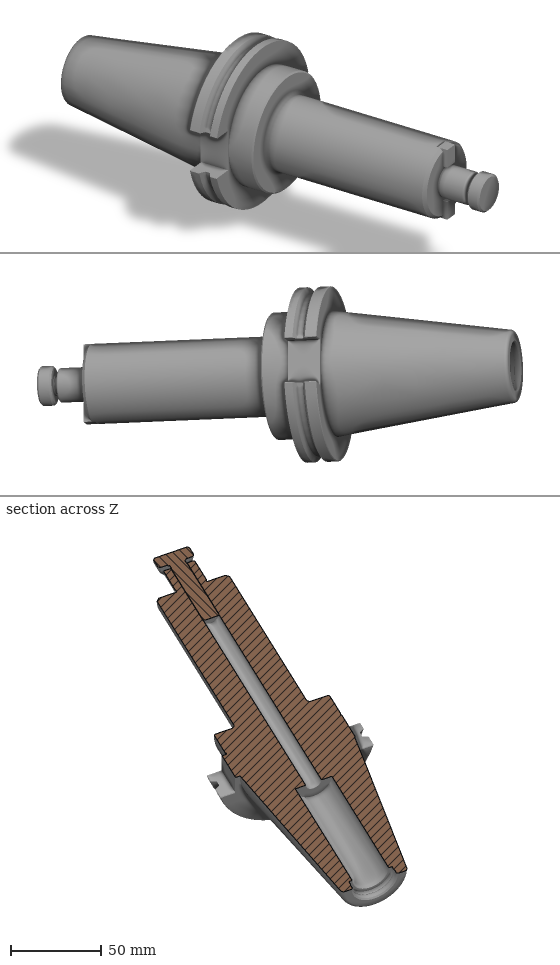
import cadquery as cq
import math

overall_length = 269.5

taper_length = 101.6
gauge_diameter = 69.8
taper_ratio = 7 / 24
tail_fillet = 2.2

flange_start = 102.5
flange_end = 120.5
flange_diameter = 97.0
flange_edge = 0.4
relief_diameter = gauge_diameter
groove_center = 112.5
groove_depth = 3.2
groove_floor_width = 3.2
groove_flank_angle = 30.0
slot_width = 24.8
shallow_slot_floor = 37.7
deep_slot_floor = 35.3

collar_start = 121.0
collar_end = 136.7
collar_diameter = 70.6
collar_edge = 0.8
barrel_diameter = 44.5
barrel_fillet = 2.2
barrel_end = 241.5
barrel_edge = 2.0
pilot_diameter = 19.1
pilot_relief_diameter = 18.5
pilot_relief_width = 1.3
pilot_end = 258.8
pilot_edge = 1.0

mouth_diameter = 28.3
counterbore_diameter = 26.7
counterbore_depth = 3.5
recess_diameter = 26.2
recess_depth = 6.0
bore_diameter = 22.0
bore_depth = 81.0
screw_hole_diameter = 9.5

key_width = 7.8
seat_start = 237.3
key_clearance = 0.8
key_start = seat_start + key_clearance
key_end = 244.5
key_top = 21.8
key_bottom = 10.8

head_diameter = 22.0
head_start = 261.5
head_edge = 1.0
neck_diameter = 11.3
neck_start = 260.7
shank_start = 215.7
shank_edge = 0.5

tail_diameter = gauge_diameter - taper_ratio * taper_length


def revolved(profile_points):
    """Revolve an (X, radius) outline about the X axis."""
    return cq.Workplane("XY").polyline(profile_points).close().revolve(360, (0, 0, 0), (1, 0, 0))


def cylinder(start, end, diameter):
    """A cylinder along X."""
    return cq.Workplane("YZ", origin=(start, 0, 0)).circle(diameter / 2).extrude(end - start)


def block(start, end, y_range, z_range):
    """A box given by its limits on the three axes."""
    size = (end - start, y_range[1] - y_range[0], z_range[1] - z_range[0])
    return cq.Workplane("XY").box(*size, centered=False).translate((start, y_range[0], z_range[0]))


def make_taper():
    taper = revolved([
        (0, 0),
        (0, tail_diameter / 2),
        (taper_length, gauge_diameter / 2),
        (taper_length, 0),
    ])
    return taper.faces("<X").edges().fillet(tail_fillet)


def make_flange():
    radius = flange_diameter / 2
    floor_half = groove_floor_width / 2
    mouth_half = floor_half + groove_depth * math.tan(math.radians(groove_flank_angle))
    groove = revolved([
        (groove_center - mouth_half, radius),
        (groove_center - floor_half, radius - groove_depth),
        (groove_center + floor_half, radius - groove_depth),
        (groove_center + mouth_half, radius),
    ])
    slot_z = (-slot_width / 2, slot_width / 2)
    shallow_slot = block(flange_start, flange_end, (shallow_slot_floor, flange_diameter), slot_z)
    deep_slot = block(flange_start, flange_end, (-flange_diameter, -deep_slot_floor), slot_z)
    flange = cylinder(flange_start, flange_end, flange_diameter).cut(shallow_slot).cut(deep_slot)
    front_edges = flange.faces("<X").edges("%CIRCLE or |Y")
    corner_distance = shallow_slot_floor + flange_edge
    corner_edges = flange.edges("|X").filter(lambda edge: abs(edge.Center().y) > corner_distance)
    flange = front_edges.add(corner_edges).chamfer(flange_edge)
    return flange.cut(groove)


def make_barrel():
    barrel_radius = barrel_diameter / 2
    fillet_end = collar_end + barrel_fillet
    arc_offset = barrel_fillet * (1 - math.sqrt(0.5))
    fillet_ring = (
        cq.Workplane("XY")
        .moveTo(collar_end, 0)
        .lineTo(collar_end, barrel_radius + barrel_fillet)
        .threePointArc((collar_end + arc_offset, barrel_radius + arc_offset), (fillet_end, barrel_radius))
        .lineTo(fillet_end, 0)
        .close()
        .revolve(360, (0, 0, 0), (1, 0, 0))
    )
    barrel = cylinder(collar_end, barrel_end, barrel_diameter).faces(">X").edges().chamfer(barrel_edge)
    return barrel.union(fillet_ring)


def make_pilot():
    relief_end = barrel_end + pilot_relief_width
    relief = cylinder(barrel_end, relief_end, pilot_relief_diameter)
    pilot = cylinder(relief_end, pilot_end, pilot_diameter).faces(">X").edges().fillet(pilot_edge)
    return relief.union(pilot)


def make_bore():
    mouth_edge = (mouth_diameter - counterbore_diameter) / 2
    return revolved([
        (0, 0),
        (0, mouth_diameter / 2),
        (mouth_edge, counterbore_diameter / 2),
        (counterbore_depth, counterbore_diameter / 2),
        (counterbore_depth, recess_diameter / 2),
        (recess_depth, recess_diameter / 2),
        (recess_depth, bore_diameter / 2),
        (bore_depth, bore_diameter / 2),
        (bore_depth, 0),
    ])


def make_key(side):
    """Drive key on the +Z side (side = 1) or the -Z side (side = -1)."""
    key = block(key_start, key_end, (-key_width / 2, key_width / 2), (key_bottom, key_top))
    return key if side > 0 else key.mirror("XY")


def make_key_seat(side):
    """Notch for a key, open at the outside of the barrel."""
    seat = block(seat_start, barrel_end, (-key_width / 2, key_width / 2), (key_bottom, barrel_diameter))
    return seat if side > 0 else seat.mirror("XY")


def make_holder():
    collar = cylinder(collar_start, collar_end, collar_diameter).faces(">X").edges().chamfer(collar_edge)
    relief = cylinder(taper_length, collar_start, relief_diameter)
    holder = make_taper().union(relief).union(make_flange()).union(collar)
    holder = holder.union(make_barrel()).union(make_pilot())
    holder = holder.cut(make_bore()).cut(cylinder(bore_depth, pilot_end, screw_hole_diameter))
    for side in (1, -1):
        holder = holder.cut(make_key_seat(side))
    return holder


def make_screw():
    shank = cylinder(shank_start, neck_start, screw_hole_diameter).faces("<X").edges().chamfer(shank_edge)
    neck = cylinder(neck_start, head_start, neck_diameter)
    head = cylinder(head_start, overall_length, head_diameter).edges().chamfer(head_edge)
    return shank.union(neck).union(head)


holder = make_holder()
keys = [make_key(side) for side in (1, -1)]
screw = make_screw()

result = cq.Compound.makeCompound([holder.val(), *[key.val() for key in keys], screw.val()])